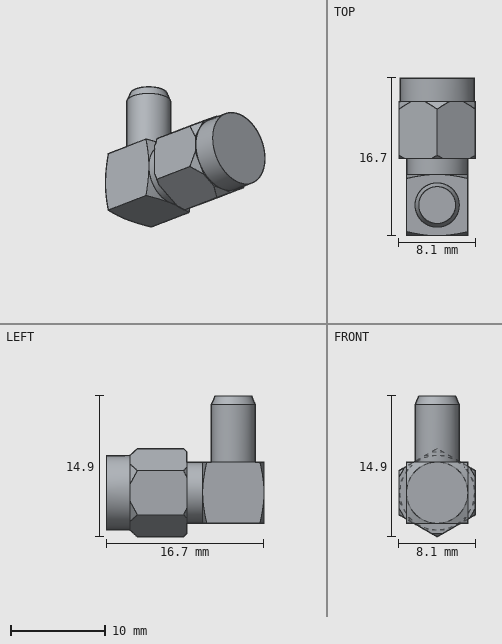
import cadquery as cq
import math

total_length = 16.7
body_size = 6.5
body_corner_setback = 0.43
neck_diameter = body_size

nut_across_flats = 8.1
nut_front = 8.17
nut_back = 14.21
front_bevel_length = 0.35
front_bevel_depth = 0.35
back_bevel_length = 0.8
sleeve_diameter = 7.88

stem_diameter = 4.7
stem_tip_diameter = 3.9
stem_taper_length = 0.94
stem_top = 10.25

body_half = body_size / 2
body_corner_radius = body_half * math.sqrt(2)
nut_corner_radius = nut_across_flats / math.sqrt(3)
back_bevel_depth = nut_corner_radius - sleeve_diameter / 2


def rod(diameter, start, end):
    """Round bar along Y."""
    plane = cq.Workplane("XZ", origin=(0, start, 0))
    return plane.circle(diameter / 2).extrude(start - end)


def make_body():
    """Cube whose corners are turned back to a cone at its front and back faces."""
    cube = cq.Workplane("XY").box(body_size, body_size, body_size).translate((0, body_half, 0))
    turned_envelope = (
        cq.Workplane("XY")
        .polyline([
            (0, 0),
            (body_half, 0),
            (body_corner_radius, body_corner_setback),
            (body_corner_radius, body_size - body_corner_setback),
            (body_half, body_size),
            (0, body_size),
        ])
        .close()
        .revolve(360, (0, 0, 0), (0, 1, 0))
    )
    return cube.intersect(turned_envelope)


def make_nut():
    """Hexagon with corners on the Z axis and a flat bevel at both ends of every corner."""
    sides = 6
    step = 360 / sides
    nut = (
        cq.Workplane("XZ", origin=(0, nut_front, 0))
        .polygon(sides, 2 * nut_corner_radius)
        .extrude(nut_front - nut_back)
        .rotate((0, 0, 0), (0, 1, 0), step / 2)
    )
    bevels = [
        (nut_front, front_bevel_length, front_bevel_depth),
        (nut_back, -back_bevel_length, back_bevel_depth),
    ]
    for end, length, depth in bevels:
        wedge = (
            cq.Workplane("YZ")
            .polyline([
                (end, nut_corner_radius - depth),
                (end + length, nut_corner_radius),
                (end, nut_corner_radius),
            ])
            .close()
            .extrude(nut_corner_radius / 2, both=True)
        )
        for corner in range(sides):
            nut = nut.cut(wedge.rotate((0, 0, 0), (0, 1, 0), corner * step))
    return nut


def make_stem():
    """Round cable stem with a tapered tip, rising from the center of the body."""
    stem_radius = stem_diameter / 2
    return (
        cq.Workplane("XZ", origin=(0, body_half, 0))
        .polyline([
            (0, 0),
            (stem_radius, 0),
            (stem_radius, stem_top - stem_taper_length),
            (stem_tip_diameter / 2, stem_top),
            (0, stem_top),
        ])
        .close()
        .revolve(360, (0, 0, 0), (0, 1, 0))
    )


neck = rod(neck_diameter, body_size, nut_front)
sleeve = rod(sleeve_diameter, nut_back, total_length)
result = make_body().union(neck).union(make_nut()).union(sleeve).union(make_stem())